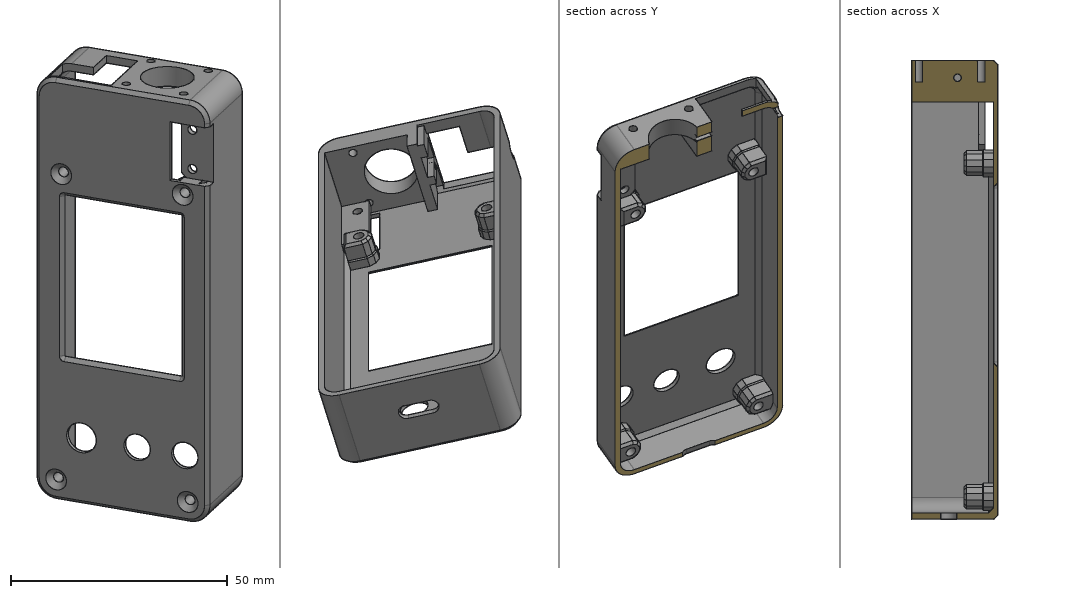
import cadquery as cq
import math

WIDTH = 43.5
DEPTH = 19.9
HEIGHT = 106.0
WALL = 1.5
PLATE_THICKNESS = 1.1
TOP_WALL = 1.9
CORNER_RADIUS = 5.0
FRONT_CHAMFER = 1.0
INNER_CHAMFER = 1.2
CENTER_X = WIDTH / 2
REACH = 2 * DEPTH

WINDOW_WIDTH = 29.5
WINDOW_BOTTOM = 36.1
WINDOW_TOP = 76.7
WINDOW_CHAMFER = 1.0
WINDOW_CORNER_RADIUS = 0.2

CONTROL_HEIGHT = 16.7
CONTROL_HOLES = [(11.6, 7.4), (25.5, 6.6), (37.5, 6.6)]

UPPER_SCREWS = (15.3, 82.3)
LOWER_SCREWS = (16.5, 5.2)
SCREW_DIAMETER = 2.4
SCREW_HEAD_DIAMETER = 5.2

POST_SIDES = 12
POST_RADIUS = 3.0
UPPER_POST_LEFT = 2.8
LOWER_POST_LEFT = 0.0
POST_BACK = 7.8
POST_CHAMFER = 0.6
POST_FOOT_LIP = 0.3
POST_FOOT_BACK = 3.6

BORE_X = 28.4
BORE_Y = 11.0
BORE_DIAMETER = 12.4
BORE_SCREW_SPACING = 14.4
BORE_SCREW_DIAMETER = 1.9
TOP_BLOCK_THICKNESS = 5.0

DIVIDER_LEFT = 19.9
DIVIDER_RIGHT = 22.3
DIVIDER_BOTTOM = 96.4
MIDDLE_RIB = (8.1, 10.3)
BACK_RIB = (15.9, 19.4)

OPENING_LEFT = 2.6
OPENING_STEP_X = 10.5
OPENING_RIGHT = 18.3
OPENING_FRONT = 1.6
OPENING_STEP_Y = 9.5
OPENING_BACK = 17.1

SIDE_SCREW_Y = 9.3
SIDE_SCREW_Z = 102.0
SIDE_HEAD_DIAMETER = 4.8
SIDE_HEAD_DEPTH = 1.2
SIDE_SCREW_DIAMETER = 2.5
SIDE_PILOT_DIAMETER = 1.7

NOTCH_LEFT = 33.8
NOTCH_BOTTOM = 85.3
NOTCH_TOP = 100.1
TAB_LEFT = 35.4
TAB_FRONT = 3.0
TAB_THICKNESS = 1.5
TAB_CHAMFER = 1.2
TAB_HOLE_X = 38.2
TAB_HOLES_Z = (87.8, 97.6)
TAB_HOLE_DIAMETER = 2.2

SLOT_Y = 11.3
SLOT_LENGTH = 9.5
SLOT_WIDTH = 3.6


def box(x0, x1, y0, y1, z0, z1):
    """Box between two opposite corners."""
    return cq.Workplane("XY").box(x1 - x0, y1 - y0, z1 - z0, centered=False).translate((x0, y0, z0))


def rod_y(x, z, diameter, length=REACH):
    """Cylinder along +Y that starts at the front face."""
    return cq.Workplane("XZ", origin=(x, 0, z)).circle(diameter / 2).extrude(-length)


def rod_x(x_start, x_end, diameter):
    """Cylinder along X on the axis of the side screw."""
    start = cq.Workplane("YZ", origin=(x_start, SIDE_SCREW_Y, SIDE_SCREW_Z))
    return start.circle(diameter / 2).extrude(x_end - x_start)


def rod_z(x, y, z_bottom, diameter):
    """Cylinder along Z from z_bottom up through the top wall."""
    start = cq.Workplane("XY", origin=(x, y, z_bottom))
    return start.circle(diameter / 2).extrude(HEIGHT - z_bottom)


def make_outer():
    blank = box(0, WIDTH, 0, DEPTH, 0, HEIGHT).edges("|Y").fillet(CORNER_RADIUS)
    return blank.faces("<Y").chamfer(FRONT_CHAMFER)


def make_cavity():
    cavity = box(WALL, WIDTH - WALL, PLATE_THICKNESS, DEPTH, WALL, HEIGHT - TOP_WALL)
    cavity = cavity.edges("|Y").fillet(CORNER_RADIUS - WALL)
    return cavity.faces("<Y").chamfer(INNER_CHAMFER)


def make_post(screw_x, screw_z, left):
    """Post behind a front screw: straight towards the side wall, with a faceted far end and a wider foot."""

    def faceted_block(radius, back):
        half_height = radius * math.cos(math.pi / POST_SIDES)
        half_facet = math.degrees(math.pi / POST_SIDES)
        block = cq.Workplane("XZ").polygon(POST_SIDES, 2 * radius).extrude(-back)
        block = block.rotate((0, 0, 0), (0, 1, 0), half_facet).translate((screw_x, 0, screw_z))
        return block.union(box(left, screw_x, 0, back, screw_z - half_height, screw_z + half_height))

    body = faceted_block(POST_RADIUS, POST_BACK).faces(">Y").chamfer(POST_CHAMFER)
    foot = faceted_block(POST_RADIUS + POST_FOOT_LIP, POST_FOOT_BACK)
    foot = foot.faces(">Y").chamfer(POST_FOOT_LIP)
    return body.union(foot)


def make_top_block():
    """Thick part of the top wall with the divider and its two ribs."""
    solid = box(DIVIDER_LEFT, WIDTH, 0, DEPTH, HEIGHT - TOP_BLOCK_THICKNESS, HEIGHT)
    solid = solid.union(box(DIVIDER_LEFT, DIVIDER_RIGHT, 0, DEPTH, DIVIDER_BOTTOM, HEIGHT))
    for rib_front, rib_back in (MIDDLE_RIB, BACK_RIB):
        rib = box(OPENING_RIGHT, DIVIDER_RIGHT, rib_front, rib_back, DIVIDER_BOTTOM, HEIGHT)
        solid = solid.union(rib)
    return solid


def make_tab():
    """Recessed plate with a clipped lower corner; it reaches up to the top block."""
    tab_top = HEIGHT - TOP_BLOCK_THICKNESS
    tab = box(TAB_LEFT, WIDTH, TAB_FRONT, TAB_FRONT + TAB_THICKNESS, NOTCH_BOTTOM, tab_top)
    return tab.edges("|Y and <X and <Z").chamfer(TAB_CHAMFER)


def cut_window(body):
    width = WINDOW_WIDTH
    height = WINDOW_TOP - WINDOW_BOTTOM
    center_z = (WINDOW_TOP + WINDOW_BOTTOM) / 2
    opening = box(CENTER_X - width / 2, CENTER_X + width / 2, 0, DEPTH, WINDOW_BOTTOM, WINDOW_TOP)
    opening = opening.edges("|Y").fillet(WINDOW_CORNER_RADIUS)
    mouth = (
        cq.Workplane("ZX", origin=(CENTER_X, 0, center_z))
        .sketch()
        .rect(height + 2 * WINDOW_CHAMFER, width + 2 * WINDOW_CHAMFER)
        .vertices()
        .fillet(WINDOW_CORNER_RADIUS + WINDOW_CHAMFER)
        .finalize()
        .extrude(WINDOW_CHAMFER, taper=45)
    )
    return body.cut(opening).cut(mouth)


def cut_front_holes(body):
    for x, diameter in CONTROL_HOLES:
        body = body.cut(rod_y(x, CONTROL_HEIGHT, diameter))
    head_radius = SCREW_HEAD_DIAMETER / 2
    screw_radius = SCREW_DIAMETER / 2
    for half_spacing, z in (UPPER_SCREWS, LOWER_SCREWS):
        for x in (CENTER_X - half_spacing, CENTER_X + half_spacing):
            countersink = cq.Solid.makeCone(
                head_radius,
                screw_radius,
                head_radius - screw_radius,
                pnt=cq.Vector(x, 0, z),
                dir=cq.Vector(0, 1, 0),
            )
            body = body.cut(rod_y(x, z, SCREW_DIAMETER)).cut(cq.Workplane(countersink))
    for z in TAB_HOLES_Z:
        body = body.cut(rod_y(TAB_HOLE_X, z, TAB_HOLE_DIAMETER))
    return body


def cut_top(body):
    block_bottom = HEIGHT - TOP_BLOCK_THICKNESS
    body = body.cut(rod_z(BORE_X, BORE_Y, block_bottom, BORE_DIAMETER))
    offset = BORE_SCREW_SPACING / 2
    for x in (BORE_X - offset, BORE_X + offset):
        for y in (BORE_Y - offset, BORE_Y + offset):
            body = body.cut(rod_z(x, y, block_bottom, BORE_SCREW_DIAMETER))
    opening_bottom = HEIGHT - CORNER_RADIUS
    front_part = box(OPENING_LEFT, OPENING_RIGHT, OPENING_FRONT, OPENING_STEP_Y, opening_bottom, HEIGHT)
    back_part = box(OPENING_STEP_X, OPENING_RIGHT, OPENING_STEP_Y, OPENING_BACK, opening_bottom, HEIGHT)
    return body.cut(front_part).cut(back_part)


def cut_side_screw(body):
    body = body.cut(rod_x(0, SIDE_HEAD_DEPTH, SIDE_HEAD_DIAMETER))
    body = body.cut(rod_x(0, OPENING_LEFT, SIDE_SCREW_DIAMETER))
    return body.cut(rod_x(OPENING_RIGHT, DIVIDER_RIGHT, SIDE_PILOT_DIAMETER))


def make_slot():
    profile = cq.Workplane("XY", origin=(CENTER_X, SLOT_Y, 0)).slot2D(SLOT_LENGTH, SLOT_WIDTH)
    return profile.extrude(WALL)


outer = make_outer()
notch = box(NOTCH_LEFT, WIDTH, 0, TAB_FRONT, NOTCH_BOTTOM, NOTCH_TOP)

case = outer.cut(make_cavity())
for screws, post_left in ((UPPER_SCREWS, UPPER_POST_LEFT), (LOWER_SCREWS, LOWER_POST_LEFT)):
    half_spacing, screw_z = screws
    post = make_post(CENTER_X - half_spacing, screw_z, post_left)
    case = case.union(post).union(post.mirror("YZ", (CENTER_X, 0, 0)))
case = case.union(make_top_block())
case = case.cut(notch).union(make_tab()).intersect(outer)
case = cut_window(case)
case = cut_front_holes(case)
case = cut_top(case)
case = cut_side_screw(case)
result = case.cut(make_slot())